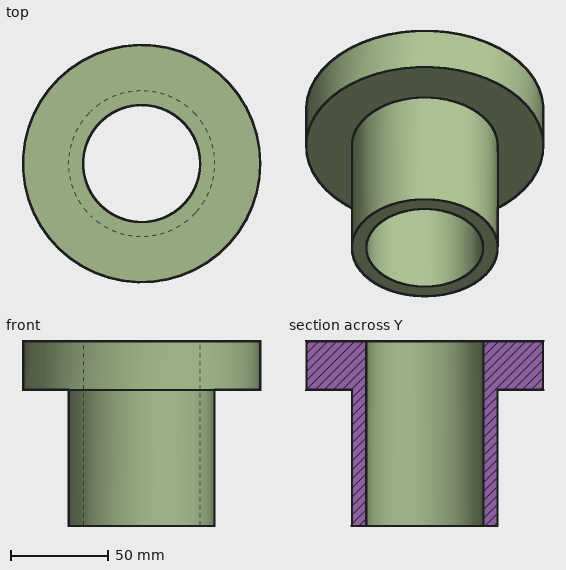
import cadquery as cq

flange_diameter = 122.0
flange_thickness = 25.0
barrel_diameter = 75.0
bore_diameter = 60.0
total_height = 95.0

barrel_length = total_height - flange_thickness

barrel = cq.Workplane("XY").circle(barrel_diameter / 2).extrude(barrel_length)

flange = (
    cq.Workplane("XY")
    .workplane(offset=barrel_length)
    .circle(flange_diameter / 2)
    .extrude(flange_thickness)
)

bore = cq.Workplane("XY").circle(bore_diameter / 2).extrude(total_height)

result = barrel.union(flange).cut(bore)